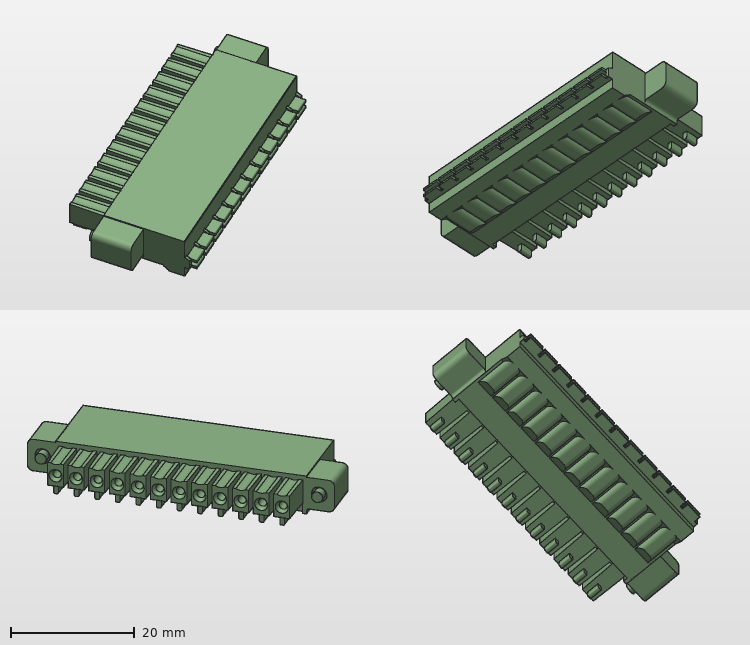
import cadquery as cq


total_length = 52.3
height = 7.75
plug_length = 6.45
tab_tip_x = 16.35

poles = 12
row_span = 38.5
pitch = row_span / (poles - 1)
pole_ys = [(i - (poles - 1) / 2) * pitch for i in range(poles)]

body_depth = 14.5
body_width = 42.7
back_edge_chamfer = 0.1
front_floor_z = 0.95

bulge_start_x = 5.05
sill_start_x = 10.5
ramp_run = 1.25
bulge_width = 3.2
bulge_round = front_floor_z

recess_width = 41.3
recess_depth = 0.8

flange_depth = 7.1
flange_bottom = 1.9
flange_top = 7.55
flange_round = 1.05
flange_root_round = 0.45
screw_y = 23.55
screw_z = 4.75
screw_radius = 0.95
screw_length = 1.1
screw_clearance_radius = 1.3
screw_clearance_depth = 0.5

plug_tip_width = 2.7
plug_root_width = 3.0
plug_bottom = 2.9
plug_top = 6.95
groove_width = 1.6
groove_depth = 0.2
socket_mouth_radius = 1.1
socket_radius = 0.7
socket_cone_depth = 0.8
socket_depth = 5.25

key_width = 0.85
key_bottom = 1.4
key_start = 0.25
key_length = 2.3
key_round = 0.3

nose_depth = 0.9
nose_bottom = 1.9
nose_top = 4.2
nose_slope_drop = 0.45
nose_chamfer = 0.15
tab_width = 3.0
tab_thickness = 0.5
tab_bottoms = (1.9, 3.2)
tab_round = 0.2


def box(x0, x1, y_mid, width, z0, z1):
    """Box spanning x0..x1 and z0..z1, centred on y_mid."""
    return (
        cq.Workplane("XY")
        .box(x1 - x0, width, z1 - z0, centered=(False, True, False))
        .translate((x0, y_mid, z0))
    )


def cylinder_x(x0, x1, y, z, radius):
    """Cylinder along X."""
    return cq.Workplane("YZ", origin=(x0, y, z)).circle(radius).extrude(x1 - x0)


def extrude_profile_xz(points, y_mid, width):
    """Profile in the XZ plane, extruded along Y symmetrically about y_mid."""
    profile = cq.Workplane("XZ", origin=(0, y_mid, 0)).polyline(points).close()
    return profile.extrude(width / 2, both=True)


def ramp_profile(start_x):
    """Side profile of the stepped underside: a ramp down from start_x, then flat to the back."""
    return [
        (start_x, front_floor_z),
        (body_depth, front_floor_z),
        (body_depth, 0),
        (start_x + ramp_run, 0),
    ]


def make_housing():
    upper = box(0, body_depth, 0, body_width, front_floor_z, height)
    upper = upper.edges(">X and >Z").chamfer(back_edge_chamfer)
    sill = extrude_profile_xz(ramp_profile(sill_start_x), 0, body_width)
    recess = box(0, recess_depth, 0, recess_width, front_floor_z, plug_bottom)
    return upper.union(sill).cut(recess)


def make_bulge(y):
    """Rounded rib below the housing with a ramped front end, running into the sill."""
    rib = box(bulge_start_x, body_depth, y, bulge_width, 0, 2 * front_floor_z)
    rib = rib.edges("|X and <Z").fillet(bulge_round)
    envelope = extrude_profile_xz(ramp_profile(bulge_start_x), y, pitch)
    return rib.intersect(envelope)


def make_flange(side):
    """Screw flange at the +Y (side = 1) or -Y (side = -1) end of the housing."""
    inner_y = body_width / 2
    width = total_length / 2 - inner_y
    plate = box(0, flange_depth, side * (inner_y + width / 2), width, flange_bottom, flange_top)
    plate = plate.edges("|X").edges(">Y" if side > 0 else "<Y").fillet(flange_round)

    web_mid_y = side * (inner_y + flange_root_round / 2)
    web_bottom = flange_bottom - flange_root_round
    web = box(0, flange_depth, web_mid_y, flange_root_round, web_bottom, flange_bottom)
    hollow_y = side * (inner_y + flange_root_round)
    web = web.cut(cylinder_x(0, flange_depth, hollow_y, web_bottom, flange_root_round))

    y = side * screw_y
    clearance = cylinder_x(0, screw_clearance_depth, y, screw_z, screw_clearance_radius)
    screw = cylinder_x(-screw_length, screw_clearance_depth, y, screw_z, screw_radius)
    return plate.union(web).cut(clearance).union(screw)


def make_plug():
    """Tapered plug on y = 0 with a top groove, a countersunk socket and a key below."""
    plug = (
        cq.Workplane("XY", origin=(0, 0, plug_bottom))
        .polyline(
            [
                (-plug_length, -plug_tip_width / 2),
                (0, -plug_root_width / 2),
                (0, plug_root_width / 2),
                (-plug_length, plug_tip_width / 2),
            ]
        )
        .close()
        .extrude(plug_top - plug_bottom)
    )

    groove_radius = (groove_width**2 / 4 + groove_depth**2) / (2 * groove_depth)
    groove_axis_z = plug_top - groove_depth + groove_radius
    plug = plug.cut(cylinder_x(-plug_length, 0, 0, groove_axis_z, groove_radius))

    socket = (
        cq.Workplane("XZ", origin=(-plug_length, 0, screw_z))
        .polyline(
            [
                (0, 0),
                (0, socket_mouth_radius),
                (socket_cone_depth, socket_radius),
                (socket_depth, socket_radius),
                (socket_depth, 0),
            ]
        )
        .close()
        .revolve(360, (0, 0, 0), (1, 0, 0))
    )

    key_x = key_start - plug_length
    key = box(key_x, key_x + key_length, 0, key_width, key_bottom, plug_bottom)
    key = key.edges("|X and <Z").fillet(key_round)
    return plug.cut(socket).union(key)


def make_nose_rib(y, width):
    """Rib on the back face that separates neighbouring contact tabs."""
    tip_x = body_depth + nose_depth
    points = [
        (body_depth, nose_bottom),
        (tip_x - nose_chamfer, nose_bottom),
        (tip_x, nose_bottom + nose_chamfer),
        (tip_x, nose_top - nose_slope_drop),
        (body_depth, nose_top),
    ]
    return extrude_profile_xz(points, y, width)


def make_tab(y, bottom):
    tab = box(body_depth, tab_tip_x, y, tab_width, bottom, bottom + tab_thickness)
    return tab.edges(">X and >Z").fillet(tab_round)


result = make_housing()
for side in (-1, 1):
    result = result.union(make_flange(side))

plug = make_plug()
for y in pole_ys:
    result = result.union(make_bulge(y))
    result = result.union(plug.translate((0, y, 0)))
    for bottom in tab_bottoms:
        result = result.union(make_tab(y, bottom))

rib_width = pitch - tab_width
for y in pole_ys[:-1]:
    result = result.union(make_nose_rib(y + pitch / 2, rib_width))
outer_tab_edge = pole_ys[-1] + tab_width / 2
end_rib_width = body_width / 2 - outer_tab_edge
for side in (-1, 1):
    result = result.union(make_nose_rib(side * (outer_tab_edge + end_rib_width / 2), end_rib_width))